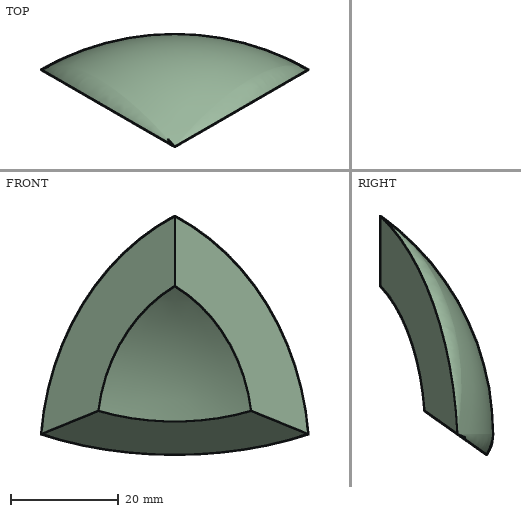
import cadquery as cq
import math

edge_length = 50.0
wall_thickness = 10.0
pyramid_reach = 3.0

corner_radius = edge_length * math.sqrt(6) / 4
corner_drop = corner_radius / 3
base_radius = edge_length / math.sqrt(3)
half_dihedral = math.degrees(math.acos(1 / 3)) / 2

centre = cq.Vector(0, 0, 0)
top_corner = cq.Vector(0, 0, corner_radius)
left_corner = cq.Vector(-edge_length / 2, base_radius / 2, -corner_drop)
right_corner = cq.Vector(edge_length / 2, base_radius / 2, -corner_drop)
opposite_corner = cq.Vector(0, -base_radius, -corner_drop)
face_corners = [top_corner, left_corner, right_corner]


def ball(radius):
    """Ball centred on the corner opposite the curved face."""
    return cq.Workplane("XY").sphere(radius).translate(opposite_corner)


def triangle(a, b, c):
    return cq.Face.makeFromWires(cq.Wire.makePolygon([a, b, c], close=True))


def pyramid(apex):
    """Pyramid from the apex through the face corners, past the curved face."""
    top, left, right = [apex + (corner - apex) * pyramid_reach for corner in face_corners]
    faces = [
        triangle(apex, top, left),
        triangle(apex, left, right),
        triangle(apex, right, top),
        triangle(top, right, left),
    ]
    return cq.Workplane(cq.Solid.makeSolid(cq.Shell.makeShell(faces)))


def rounded_lower_edge():
    """Circular segment swung about its chord, from the spherical face to the flat side."""
    chord_middle = (left_corner + right_corner) * 0.5
    outward = (chord_middle - opposite_corner).normalized()
    arc_middle = opposite_corner + outward * edge_length
    segment = cq.Wire.assembleEdges([
        cq.Edge.makeThreePointArc(left_corner, arc_middle, right_corner),
        cq.Edge.makeLine(right_corner, left_corner),
    ])
    swung = cq.Solid.revolve(segment, [], half_dihedral, right_corner, left_corner)
    return cq.Workplane(swung)


body = pyramid(centre).intersect(pyramid(opposite_corner)).intersect(ball(edge_length))

edge_count = len(face_corners)
lower_edge = rounded_lower_edge()
for index in range(edge_count):
    turn = index * 360 / edge_count
    body = body.union(lower_edge.rotate(opposite_corner, centre, turn))

result = body.cut(ball(edge_length - wall_thickness))